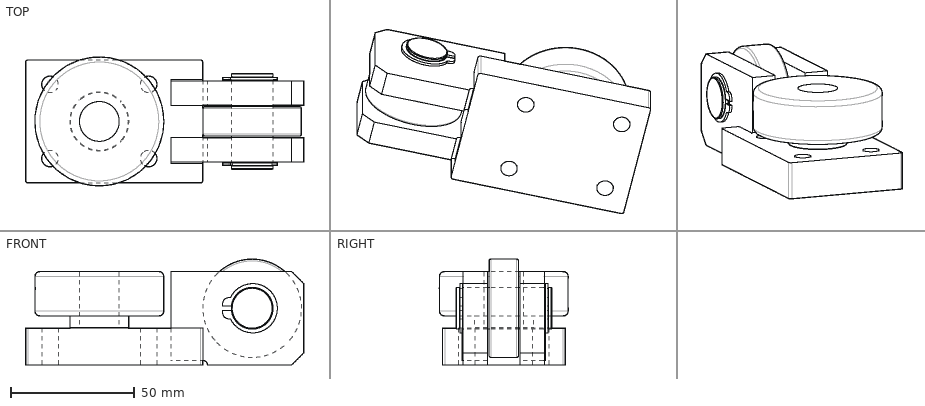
import cadquery as cq


base_length = 72.0
base_width = 50.0
base_height = 15.0
base_corner_radius = 1.0
bolt_hole_diameter = 6.7
bolt_spacing_x = 40.0
bolt_spacing_y = 30.1
bolt_centre_x = 30.0

overall_length = 113.0
cheek_length = 54.0
cheek_height = 38.0
cheek_thickness = 10.0
cheek_chamfer = 5.0
cheek_inner_y = 6.5
cheek_outer_y = cheek_inner_y + cheek_thickness
cheek_start_x = overall_length - cheek_length
slot_side_clearance = 0.51
slot_floor = 1.8
step_overrun = 1.8
step_length = base_length - cheek_start_x + step_overrun
step_corner_radius = 1.7

crown_roller_diameter = 52.4
crown_roller_edge_diameter = 52.3
crown_roller_width = 18.1
crown_roller_fillet = 2.0
crown_roller_x = bolt_centre_x
crown_roller_bottom = cheek_height - crown_roller_width
stud_diameter = 16.2
spacer_diameter = 24.0
spacer_chamfer = 0.2
spacer_height = crown_roller_bottom - base_height

axle_x = 92.0
axle_z = 23.0
axle_diameter = 17.0
axle_length = 39.0
axle_chamfer = 0.3
fork_roller_diameter = 40.0
fork_roller_width = 12.0
fork_roller_fillet = 0.8
ring_groove_diameter = 16.2
ring_groove_width = 1.2
ring_outer_diameter = 20.0
ring_thickness = 1.0
ring_cheek_gap = 0.3
ring_eccentricity = 0.2
ring_gap = 1.7
ring_lug_height = 8.6
ring_lug_reach = 12.0
ring_lug_radius = 2.5
ring_start_y = cheek_outer_y + ring_cheek_gap


def cylinder_along_y(diameter, start_y, length):
    """Cylinder on the axle line, growing from start_y towards +Y."""
    centre = cq.Vector(axle_x, start_y, axle_z)
    return cq.Workplane(cq.Solid.makeCylinder(diameter / 2, length, centre, cq.Vector(0, 1, 0)))


def cylinder_along_z(diameter, start_z, height):
    """Cylinder on the stud line, growing upwards from start_z."""
    centre = cq.Vector(crown_roller_x, 0, start_z)
    return cq.Workplane(cq.Solid.makeCylinder(diameter / 2, height, centre, cq.Vector(0, 0, 1)))


def make_base():
    base = cq.Workplane("XY").box(base_length, base_width, base_height, centered=(False, True, False))
    base = base.edges("|Z").fillet(base_corner_radius)
    bolt_holes = (
        cq.Workplane("XY")
        .center(bolt_centre_x, 0)
        .rect(bolt_spacing_x, bolt_spacing_y, forConstruction=True)
        .vertices()
        .circle(bolt_hole_diameter / 2)
        .extrude(base_height)
    )
    base = base.cut(bolt_holes)
    slot_width = cheek_thickness + slot_side_clearance
    slot_depth = base_height - slot_floor
    for side in (-1, 1):
        slot = cq.Workplane("XY").box(cheek_length, slot_width, slot_depth, centered=(False, True, False))
        slot_centre_y = side * (cheek_inner_y + slot_width / 2)
        base = base.cut(slot.translate((cheek_start_x, slot_centre_y, slot_floor)))
    return base


def make_cheek(side):
    """Fork cheek on the +Y (side = 1) or -Y (side = -1) side."""
    cheek = cq.Workplane("XY").box(cheek_length, cheek_thickness, cheek_height, centered=(False, True, False))
    cheek = cheek.edges("|Y and >X").chamfer(cheek_chamfer)
    step = cq.Workplane("XY").box(step_length, cheek_thickness, slot_floor, centered=(False, True, False))
    step = step.edges("|Y and >X and >Z").fillet(step_corner_radius)
    cheek = cheek.cut(step)
    cheek = cheek.translate((cheek_start_x, side * (cheek_inner_y + cheek_thickness / 2), 0))
    return cheek.cut(cylinder_along_y(axle_diameter, -axle_length / 2, axle_length))


def make_crown_roller():
    edge_radius = crown_roller_edge_diameter / 2
    half_width = crown_roller_width / 2
    profile = (
        cq.Workplane("XZ")
        .moveTo(0, -half_width)
        .lineTo(edge_radius, -half_width)
        .threePointArc((crown_roller_diameter / 2, 0), (edge_radius, half_width))
        .lineTo(0, half_width)
        .close()
    )
    roller = profile.revolve(360, (0, 0, 0), (0, 1, 0))
    roller = roller.faces("<Z or >Z").edges().fillet(crown_roller_fillet)
    roller = roller.translate((crown_roller_x, 0, crown_roller_bottom + half_width))
    return roller.cut(cylinder_along_z(stud_diameter, crown_roller_bottom, crown_roller_width))


def make_stud():
    return cylinder_along_z(stud_diameter, base_height, cheek_height - base_height)


def make_spacer():
    spacer = cylinder_along_z(spacer_diameter, base_height, spacer_height)
    spacer = spacer.faces("<Z").chamfer(spacer_chamfer)
    return spacer.cut(make_stud())


def make_fork_roller():
    roller = cylinder_along_y(fork_roller_diameter, -fork_roller_width / 2, fork_roller_width)
    roller = roller.edges().fillet(fork_roller_fillet)
    return roller.cut(cylinder_along_y(axle_diameter, -axle_length / 2, axle_length))


def make_axle():
    axle = cylinder_along_y(axle_diameter, -axle_length / 2, axle_length)
    axle = axle.faces("<Y or >Y").chamfer(axle_chamfer)
    for groove_y in (ring_start_y, -ring_start_y - ring_groove_width):
        groove = cylinder_along_y(axle_diameter, groove_y, ring_groove_width)
        core = cylinder_along_y(ring_groove_diameter, groove_y, ring_groove_width)
        axle = axle.cut(groove.cut(core))
    return axle


def make_retaining_ring(start_y):
    """Open ring with two rounded lugs that point towards -X."""
    band = cylinder_along_y(ring_outer_diameter, start_y, ring_thickness).translate((ring_eccentricity, 0, 0))
    lugs = (
        cq.Workplane("XY")
        .box(ring_lug_reach, ring_thickness, ring_lug_height, centered=(False, False, True))
        .edges("|Y and <X")
        .fillet(ring_lug_radius)
        .translate((axle_x - ring_lug_reach, start_y, axle_z))
    )
    gap = (
        cq.Workplane("XY")
        .box(ring_lug_reach, ring_thickness, ring_gap, centered=(False, False, True))
        .translate((axle_x - ring_lug_reach, start_y, axle_z))
    )
    bore = cylinder_along_y(ring_groove_diameter, start_y, ring_thickness)
    return band.union(lugs).cut(gap).cut(bore)


base = make_base()
cheeks = [make_cheek(side) for side in (-1, 1)]
crown_roller = make_crown_roller()
stud = make_stud()
spacer = make_spacer()
fork_roller = make_fork_roller()
axle = make_axle()
retaining_rings = [make_retaining_ring(y) for y in (-ring_start_y - ring_thickness, ring_start_y)]

result = cq.Compound.makeCompound(
    [
        base.val(),
        *[cheek.val() for cheek in cheeks],
        crown_roller.val(),
        stud.val(),
        spacer.val(),
        fork_roller.val(),
        axle.val(),
        *[ring.val() for ring in retaining_rings],
    ]
)